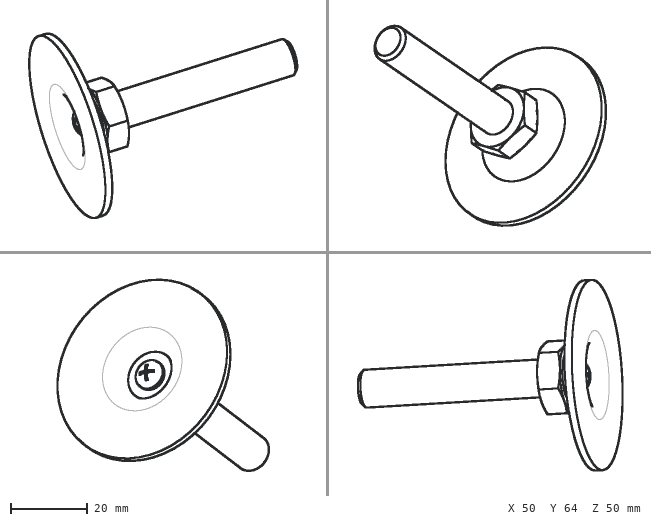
import cadquery as cq
import math


plate_diameter = 50.0
plate_thickness = 2.0
dome_base_diameter = 26.4
dome_top_diameter = 13.4
dome_height = 7.3

recess_floor_diameter = 13.4
recess_flare_radius = 5.0

stud_diameter = 10.0
stud_length = 50.0
stud_chamfer = 1.0

nut_bottom = 7.8
nut_height = 6.2
nut_sides = 6
nut_across_flats = 17.0
nut_chamfer_angle = 20.0

neck_top_diameter = 12.4

head_diameter = 8.0
head_height = 3.0
head_rim_height = 1.0
cross_length = 4.2
cross_width = 0.6
cross_depth = 1.0

nut_top = nut_bottom + nut_height
stud_end = nut_top + stud_length
recess_depth = recess_flare_radius
head_crown = recess_depth - head_height


def revolve_about_y(profile):
    """Close an XY profile and turn it once around the Y axis."""
    return profile.close().revolve(360, (0, 0, 0), (0, 1, 0))


def make_foot():
    floor_radius = recess_floor_diameter / 2
    mouth_radius = floor_radius + recess_flare_radius
    arc_offset = recess_flare_radius * math.sqrt(0.5)
    arc_middle = (mouth_radius - arc_offset, recess_flare_radius - arc_offset)
    profile = (
        cq.Workplane("XY")
        .moveTo(0, recess_depth)
        .lineTo(floor_radius, recess_depth)
        .threePointArc(arc_middle, (mouth_radius, 0))
        .lineTo(plate_diameter / 2, 0)
        .lineTo(plate_diameter / 2, plate_thickness)
        .lineTo(dome_base_diameter / 2, plate_thickness)
        .lineTo(dome_top_diameter / 2, dome_height)
        .lineTo(neck_top_diameter / 2, nut_bottom)
        .lineTo(0, nut_bottom)
    )
    return revolve_about_y(profile)


def make_nut():
    half_sector = 180 / nut_sides
    across_corners = nut_across_flats / math.cos(math.radians(half_sector))
    hexagon = (
        cq.Workplane("XZ", origin=(0, nut_bottom, 0))
        .polygon(nut_sides, across_corners)
        .extrude(-nut_height)
        .rotate((0, 0, 0), (0, 1, 0), half_sector)
    )
    flat_radius = nut_across_flats / 2
    corner_radius = across_corners / 2
    chamfer_height = (corner_radius - flat_radius) * math.tan(math.radians(nut_chamfer_angle))
    envelope = revolve_about_y(
        cq.Workplane("XY")
        .moveTo(0, nut_bottom)
        .lineTo(flat_radius, nut_bottom)
        .lineTo(corner_radius, nut_bottom + chamfer_height)
        .lineTo(corner_radius, nut_top - chamfer_height)
        .lineTo(flat_radius, nut_top)
        .lineTo(0, nut_top)
    )
    return hexagon.intersect(envelope)


def make_stud():
    return (
        cq.Workplane("XZ", origin=(0, nut_bottom, 0))
        .circle(stud_diameter / 2)
        .extrude(nut_bottom - stud_end)
        .faces(">Y")
        .chamfer(stud_chamfer)
    )


def make_screw_head():
    head_radius = head_diameter / 2
    rim = recess_depth - head_rim_height
    crown_height = rim - head_crown
    sphere_radius = (head_radius ** 2 + crown_height ** 2) / (2 * crown_height)
    half_angle = math.asin(head_radius / sphere_radius) / 2
    arc_middle = (
        sphere_radius * math.sin(half_angle),
        head_crown + sphere_radius * (1 - math.cos(half_angle)),
    )
    head = revolve_about_y(
        cq.Workplane("XY")
        .moveTo(0, recess_depth)
        .lineTo(head_radius, recess_depth)
        .lineTo(head_radius, rim)
        .threePointArc(arc_middle, (0, head_crown))
    )
    for width, height in ((cross_length, cross_width), (cross_width, cross_length)):
        slot = (
            cq.Workplane("XZ", origin=(0, head_crown, 0))
            .rect(width, height)
            .extrude(-cross_depth)
        )
        head = head.cut(slot)
    return head


result = make_foot().union(make_nut()).union(make_stud()).union(make_screw_head())